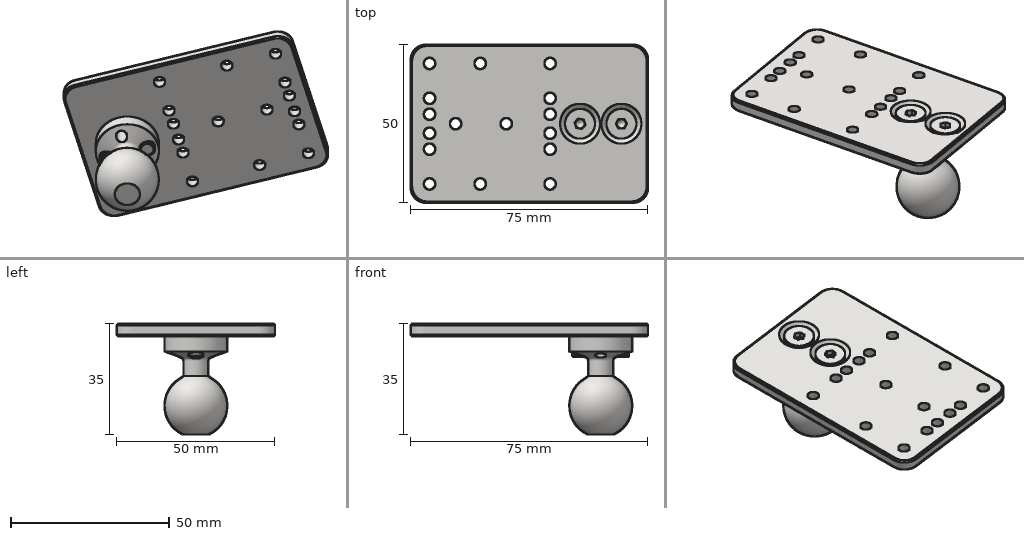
import cadquery as cq
import math

plate_length = 75
plate_width = 50.0
plate_thickness = 4.0
plate_corner_radius = 5.0
plate_edge_chamfer = 0.5

hole_diameter = 3.5
square_pitch = 38.0
left_column_x = -31.5
right_column_x = left_column_x + square_pitch
middle_column_x = -15.5
column_xs = (left_column_x, right_column_x)
corner_row_y = square_pitch / 2
outer_row_y = 8.0
inner_row_y = 3
centre_pair_x = -15.3
centre_pair_pitch = 16.0

mount_x = 22.5
mount_radius = 10.0
mount_rim_bottom_z = -8.7
cone_bottom_z = -11.0
neck_radius = 4.0
neck_fillet = 0.9
neck_bottom_z = -16.5
ball_radius = 10.0
mount_bottom_z = -35.0
ball_flat_distance = math.sqrt(ball_radius**2 - neck_radius**2)
ball_centre_z = mount_bottom_z + ball_flat_distance
ball_start_z = -17.25
ball_start_radius = math.sqrt(ball_radius**2 - (ball_start_z - ball_centre_z) ** 2)
bolt_circle_radius = 6.5
spare_hole_diameter = 3.45

screw_radius = 2.5
screw_end_z = -10.5
screw_end_chamfer = 0.45
countersink_radius = 6.3
head_radius = 4.7
head_top_z = -0.6
hex_corner_diameter = 3.45
hex_depth = 1.9
hex_point_angle = 120
screw_xs = (mount_x - bolt_circle_radius, mount_x + bolt_circle_radius)
hex_turns = (-12, 0)

countersink_bottom_z = -(countersink_radius - screw_radius)
head_rim_bottom_z = -(countersink_radius - head_radius)


def turned(points):
    """Revolve an (r, z) outline about the Z axis."""
    return cq.Workplane("XZ").polyline(points).close().revolve(360, (0, 0), (0, 1))


def vertical_rod(radius, bottom_z, top_z):
    return cq.Workplane("XY").workplane(offset=bottom_z).circle(radius).extrude(top_z - bottom_z)


def plate_hole_points():
    points = [(middle_column_x, side * corner_row_y) for side in (-1, 1)]
    points += [(centre_pair_x + side * centre_pair_pitch / 2, 0) for side in (-1, 1)]
    for x in column_xs:
        for y in (corner_row_y, outer_row_y, inner_row_y):
            points += [(x, y), (x, -y)]
    return points


def make_plate():
    plate = (
        cq.Workplane("XY")
        .box(plate_length, plate_width, plate_thickness, centered=(True, True, False))
        .translate((0, 0, -plate_thickness))
        .edges("|Z")
        .fillet(plate_corner_radius)
        .faces("<Z or >Z")
        .chamfer(plate_edge_chamfer)
    )
    for x, y in plate_hole_points():
        plate = plate.cut(vertical_rod(hole_diameter / 2, -plate_thickness, 0).translate((x, y, 0)))
    countersunk_hole = turned([
        (0, 0),
        (countersink_radius, 0),
        (screw_radius, countersink_bottom_z),
        (screw_radius, -plate_thickness),
        (0, -plate_thickness),
    ])
    for x in screw_xs:
        plate = plate.cut(countersunk_hole.translate((x, 0, 0)))
    return plate


def make_ball_mount():
    base = turned([
        (0, -plate_thickness),
        (mount_radius, -plate_thickness),
        (mount_radius, mount_rim_bottom_z),
        (neck_radius, cone_bottom_z),
        (neck_radius, neck_bottom_z),
        (0, neck_bottom_z),
    ])
    base = base.edges("%CIRCLE").edges(">>Z[1]").fillet(neck_fillet)

    ball = (
        cq.Workplane("XZ")
        .moveTo(0, neck_bottom_z)
        .lineTo(neck_radius, neck_bottom_z)
        .lineTo(ball_start_radius, ball_start_z)
        .threePointArc((ball_radius, ball_centre_z), (neck_radius, mount_bottom_z))
        .lineTo(0, mount_bottom_z)
        .close()
        .revolve(360, (0, 0), (0, 1))
    )
    mount = base.union(ball)

    for side in (-1, 1):
        offset = side * bolt_circle_radius
        screw_hole = vertical_rod(screw_radius, cone_bottom_z, -plate_thickness)
        spare_hole = vertical_rod(spare_hole_diameter / 2, cone_bottom_z, -plate_thickness)
        mount = mount.cut(screw_hole.translate((offset, 0, 0)))
        mount = mount.cut(spare_hole.translate((0, offset, 0)))
    return mount.translate((mount_x, 0, 0))


def make_screw(x, hex_turn):
    screw = turned([
        (0, head_top_z),
        (head_radius, head_top_z),
        (head_radius, head_rim_bottom_z),
        (screw_radius, countersink_bottom_z),
        (screw_radius, screw_end_z + screw_end_chamfer),
        (screw_radius - screw_end_chamfer, screw_end_z),
        (0, screw_end_z),
    ])
    hex_bottom_z = head_top_z - hex_depth
    socket = (
        cq.Workplane("XY")
        .workplane(offset=hex_bottom_z)
        .polygon(6, hex_corner_diameter)
        .extrude(hex_depth)
    )
    point_radius = hex_corner_diameter / 2 * math.cos(math.pi / 6)
    point_depth = point_radius / math.tan(math.radians(hex_point_angle / 2))
    point = turned([(0, hex_bottom_z), (point_radius, hex_bottom_z), (0, hex_bottom_z - point_depth)])
    screw = screw.cut(socket).cut(point)
    return screw.rotate((0, 0, 0), (0, 0, 1), hex_turn).translate((x, 0, 0))


plate = make_plate()
ball_mount = make_ball_mount()
screws = [make_screw(x, turn) for x, turn in zip(screw_xs, hex_turns)]

result = cq.Compound.makeCompound([plate.val(), ball_mount.val(), *[screw.val() for screw in screws]])